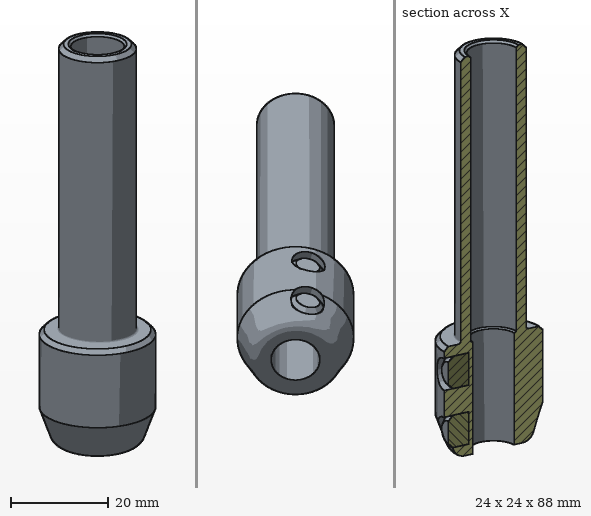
import math

import cadquery as cq

total_height = 88.0
head_height = 25.0
nose_height = 8.0

head_radius = 12.0
shank_radius = 8.0
nose_taper_angle = 20.0
edge_chamfer = 1.0
nose_fillet = 3.0
root_fillet = 0.5
nose_radius = head_radius - nose_height * math.tan(math.radians(nose_taper_angle))

upper_bore_radius = 5.5
lower_bore_radius = 5.0
mouth_chamfer = 0.5
drill_point_angle = 118.0
bore_step_height = head_height
bore_cone_height = (upper_bore_radius - lower_bore_radius) / math.tan(math.radians(drill_point_angle / 2))

pin_radius = 3.5
pin_length = 5.0
pin_chamfer = 1.0
pin_outer_y = 11.0
pin_inner_y = pin_outer_y - pin_length
pin_heights = (6.0, 19.0)

profile_plane = cq.Plane(origin=(0, 0, 0), xDir=(-1, 0, 0), normal=(0, 1, 0))


def revolve_profile(points):
    """Turn a closed (radius, height) outline about the Z axis."""
    outline = cq.Workplane(profile_plane).polyline(points).close()
    return outline.revolve(360, (0, 0, 0), (0, 1, 0))


def edges_at_height(solid, radius, height):
    """Circular edges of at most the given radius that lie at one height."""
    margin = 0.1
    reach = radius + margin
    low_corner = (-reach, -reach, height - margin)
    high_corner = (reach, reach, height + margin)
    return solid.edges(cq.selectors.BoxSelector(low_corner, high_corner, boundingbox=True))


def radial_cylinder(height, start_y, end_y):
    """Cylinder of pin diameter lying along Y at the given height."""
    plane = cq.Plane(origin=(0, start_y, height), xDir=(1, 0, 0), normal=(0, 1, 0))
    return cq.Workplane(plane).circle(pin_radius).extrude(end_y - start_y)


def make_outside():
    """Solid head and shank with a tapered, rounded nose and a filleted shank root."""
    outside = revolve_profile([
        (0, 0),
        (nose_radius, 0),
        (head_radius, nose_height),
        (head_radius, head_height - edge_chamfer),
        (head_radius - edge_chamfer, head_height),
        (shank_radius, head_height),
        (shank_radius, total_height - edge_chamfer),
        (shank_radius - edge_chamfer, total_height),
        (0, total_height),
    ])
    outside = edges_at_height(outside, nose_radius, 0).fillet(nose_fillet)
    return edges_at_height(outside, shank_radius, head_height).fillet(root_fillet)


def make_bore():
    """Through bore with a conical step and a chamfered mouth."""
    return revolve_profile([
        (0, 0),
        (lower_bore_radius, 0),
        (lower_bore_radius, bore_step_height - bore_cone_height),
        (upper_bore_radius, bore_step_height),
        (upper_bore_radius, total_height - mouth_chamfer),
        (upper_bore_radius + mouth_chamfer, total_height),
        (0, total_height),
    ])


def make_body():
    """Head and shank in one piece, bored through, with a blind pocket for each pin."""
    turned_body = make_outside().cut(make_bore())
    for height in pin_heights:
        turned_body = turned_body.cut(radial_cylinder(height, pin_inner_y, head_radius))
    return turned_body


def make_pin(height):
    """Pin filling the inner part of its pocket, with a chamfered outer end."""
    blank = radial_cylinder(height, pin_inner_y, pin_outer_y)
    return blank.faces(">Y").edges().chamfer(pin_chamfer)


body = make_body()
pins = [make_pin(height) for height in pin_heights]

result = cq.Compound.makeCompound([body.val(), *[pin.val() for pin in pins]])